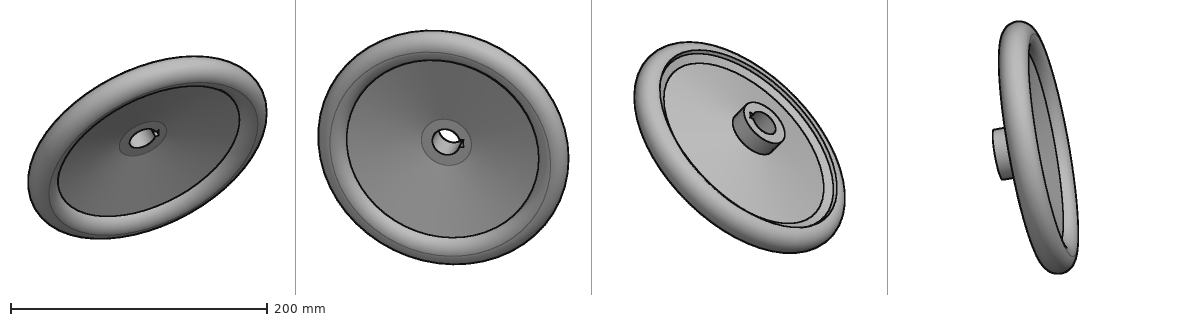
import cadquery as cq
import math

wheel_diameter = 200.0
overall_width = 44.0

rim_width = 23.4
rim_section_radius = rim_width / 2
rim_center_x = overall_width - rim_section_radius
rim_center_radius = wheel_diameter / 2 - rim_section_radius

web_front_x = 14.5
web_outer_radius = 78.0
web_slope = 0.21
web_thickness = 8.0
wall_front_radius = 86.4
wall_foot_radius = 85.0
wall_foot_x = 23.5

hub_diameter = 40.0
hub_radius = hub_diameter / 2
bore_diameter = 22.0
keyway_width = 6.0
keyway_reach = 13.8

web_outer_x = web_front_x + web_slope * (web_outer_radius - hub_radius)
web_back_x = web_front_x + web_thickness
web_back_outer_x = web_outer_x + web_thickness
wall_front_x = rim_center_x - math.sqrt(
    rim_section_radius**2 - (rim_center_radius - wall_front_radius) ** 2
)
web_back_rim_radius = rim_center_radius - math.sqrt(
    rim_section_radius**2 - (web_back_outer_x - rim_center_x) ** 2
)


def make_wheel():
    """Revolve the hub, web and rim section around the X axis."""
    section = (
        cq.Workplane("XY")
        .moveTo(0, 0)
        .lineTo(0, hub_radius)
        .lineTo(web_front_x, hub_radius)
        .lineTo(web_outer_x, web_outer_radius)
        .lineTo(wall_foot_x, wall_foot_radius)
        .lineTo(wall_front_x, wall_front_radius)
        .threePointArc(
            (rim_center_x, rim_center_radius + rim_section_radius),
            (overall_width, rim_center_radius),
        )
        .threePointArc(
            (
                rim_center_x + rim_section_radius * math.sqrt(0.5),
                rim_center_radius - rim_section_radius * math.sqrt(0.5),
            ),
            (web_back_outer_x, web_back_rim_radius),
        )
        .lineTo(web_back_x, hub_radius)
        .lineTo(web_back_x, 0)
        .close()
    )
    return section.revolve(360, (0, 0, 0), (1, 0, 0))


def make_bore_with_keyway():
    """Through bore with a keyway on its +Y side."""
    bore = cq.Workplane("YZ").circle(bore_diameter / 2).extrude(overall_width)
    keyway = cq.Workplane("XY").box(
        overall_width, keyway_reach, keyway_width, centered=(False, False, True)
    )
    return bore.union(keyway)


result = make_wheel().cut(make_bore_with_keyway())